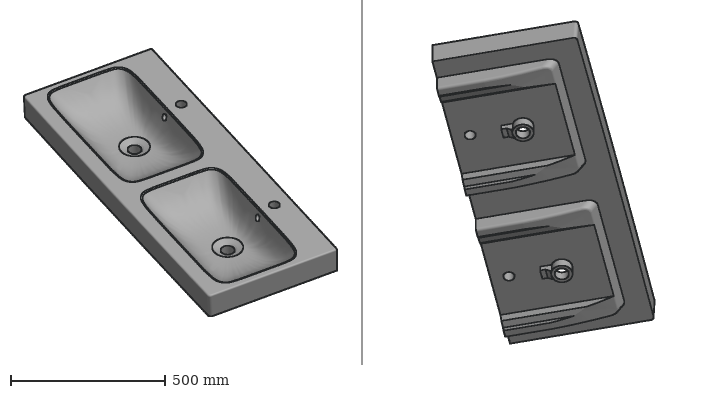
import cadquery as cq
import math


quarter_arc_inset = 1 - math.cos(math.radians(45))

length = 1201.0
depth = 485.0
slab_height = 89.0
front_bulge = 2.0
front_draft = 4.0
front_corner = 12.0
rim_round = 6.0

basin_centers = (-length / 4, length / 4)
drain_y = -237.0
bowl_half_width = 273.0
bowl_back = -115.0
bowl_front = -426.0
bowl_squareness = 8.0
section_points = 64
bowl_depth = 106.0
floor_radius = 36.0
bowl_power = 2.8
section_sizes = (1.0, 0.9, 0.75, 0.5, 0.25, 0.0)
bowl_edge_bevel = 4.0

seat_radius = 50.0
seat_clearance = 24.0
throat_radius = 31.0
throat_depth = 113.0
bore_radius = 23.0
bore_depth = 118.0
spout_radius = 35.0
spout_bottom = 155.0
overflow_radius = 11.0
overflow_depth = 29.0
overflow_length = 24.0
overflow_start_y = -135.0
tap_radius = 18.0
tap_y = -61.0

under_half_width = 230.0
under_front_top = -400.0
under_front_low = -378.0
under_depth = 121.0
joint_overlap = 6.0
under_corner = 26.0
rail_depth = 144.0
rail_round = 10.0
rail_flat_end = -156.0
rail_arc_middle = (-273.0, -136.0)
rail_flat_width = 31.0
rail_step_start = 40.0
rail_step_end = 65.0
rail_width = 79.0
rail_step_depths = (139.0, 135.0)

selection_margin = 1.0

rib_width = 36.0
rib_back = -168.0
rib_low_back = -186.0
rib_depth = 140.0
rib_low_depth = 151.0


def slab_outline(z, setback):
    """Plan outline with rounded front corners and a slightly bowed front."""
    half = length / 2
    front_side = -depth + front_bulge + setback
    corner_inset = front_corner * quarter_arc_inset
    return (
        cq.Workplane("XY", origin=(0, 0, z))
        .moveTo(-half, 0)
        .lineTo(-half, front_side + front_corner)
        .threePointArc(
            (-half + corner_inset, front_side + corner_inset),
            (-half + front_corner, front_side),
        )
        .threePointArc((0, front_side - front_bulge), (half - front_corner, front_side))
        .threePointArc(
            (half - corner_inset, front_side + corner_inset),
            (half, front_side + front_corner),
        )
        .lineTo(half, 0)
        .close()
        .val()
    )


def outer_slab():
    """Slab with a leaning front that reaches its full depth just below the rounded rim."""
    overhang = front_draft * rim_round / slab_height
    wires = [slab_outline(-slab_height, front_draft), slab_outline(0, -overhang)]
    slab = cq.Workplane(cq.Solid.makeLoft(wires, True))
    return slab.faces(">Z").edges("not >Y").fillet(rim_round)


def underbody(center_x):
    """Body below the slab, hollowed underneath between its two end rails."""
    joint = -slab_height + joint_overlap
    front_lean = (under_front_low - under_front_top) / (under_depth - slab_height)
    joint_front = under_front_top - front_lean * joint_overlap
    body = (
        cq.Workplane("YZ", origin=(center_x - under_half_width, 0, 0))
        .moveTo(0, joint)
        .lineTo(0, -rail_depth)
        .lineTo(rail_flat_end, -rail_depth)
        .threePointArc(rail_arc_middle, (under_front_low, -under_depth))
        .lineTo(joint_front, joint)
        .close()
        .extrude(2 * under_half_width)
    )
    front_corners = cq.selectors.BoxSelector(
        (center_x - length, joint_front - selection_margin, -under_depth),
        (center_x + length, under_front_low, joint - selection_margin),
    )
    body = body.edges("not |X").edges(front_corners).fillet(under_corner)
    body = body.faces("<Z").edges("|Y").fillet(rail_round)

    steps = [
        (under_half_width - rail_width, -under_depth),
        (under_half_width - rail_step_end, -rail_step_depths[1]),
        (under_half_width - rail_step_start, -rail_step_depths[0]),
        (under_half_width - rail_flat_width, -rail_depth),
    ]
    mirrored_steps = [(-x, z) for x, z in reversed(steps)]
    hollow = (
        cq.Workplane("XZ", origin=(center_x, 0, 0))
        .polyline(steps + mirrored_steps)
        .close()
        .extrude(depth)
    )
    return body.cut(hollow)


def spout(center_x):
    """Drain spout with the overflow rib that runs into it from behind."""
    pipe = (
        cq.Workplane("XY", origin=(center_x, drain_y, -spout_bottom))
        .circle(spout_radius)
        .extrude(spout_bottom - bore_depth)
    )
    rib = (
        cq.Workplane("YZ", origin=(center_x - rib_width / 2, 0, 0))
        .moveTo(drain_y, -bore_depth)
        .lineTo(rib_back, -bore_depth)
        .lineTo(rib_back, -rib_depth)
        .lineTo(rib_low_back, -rib_depth)
        .lineTo(drain_y + spout_radius, -rib_low_depth)
        .lineTo(drain_y, -rib_low_depth)
        .close()
        .extrude(rib_width)
    )
    return pipe.union(rib).cut(
        cq.Workplane("XY", origin=(center_x, drain_y, -spout_bottom))
        .circle(bore_radius)
        .extrude(spout_bottom)
    )


def blend(start, end, share):
    """Value the given share of the way from start to end."""
    return start + (end - start) * share


def bowl_section(center_x, size):
    """Superellipse at one level: size 1 is the bowed rectangular opening, 0 the round middle of the floor."""
    half_width = blend(floor_radius, bowl_half_width, size)
    back = blend(drain_y + floor_radius, bowl_back, size)
    front = blend(drain_y - floor_radius, bowl_front, size)
    middle_y = (back + front) / 2
    half_depth = (back - front) / 2
    squareness = blend(2, bowl_squareness, size)
    z = -bowl_depth * (1 - size**bowl_power)

    def outline(turn):
        across = math.sin(turn)
        along = math.cos(turn)
        reach = (abs(across) ** squareness + abs(along) ** squareness) ** (-1 / squareness)
        return cq.Vector(center_x + half_width * reach * across, middle_y - half_depth * reach * along, z)

    turns = [2 * math.pi * step / section_points for step in range(section_points)]
    return cq.Wire.assembleEdges([cq.Edge.makeSpline([outline(turn) for turn in turns], periodic=True)])


def bowl_cutter(center_x):
    """Smooth bowl lofted from the opening down to the floor."""
    sections = [bowl_section(center_x, size) for size in section_sizes]
    return cq.Workplane(cq.Solid.makeLoft(sections))


def drain_cutter(center_x):
    """Funnel from the seat to the throat, then the bore through the spout."""
    return (
        cq.Workplane("XZ", origin=(center_x, drain_y, 0))
        .moveTo(0, seat_clearance - bowl_depth)
        .lineTo(seat_radius, seat_clearance - bowl_depth)
        .lineTo(seat_radius, -bowl_depth)
        .lineTo(throat_radius, -throat_depth)
        .lineTo(bore_radius, -bore_depth)
        .lineTo(bore_radius, -spout_bottom)
        .lineTo(0, -spout_bottom)
        .close()
        .revolve(360, (0, 0, 0), (0, 1, 0))
    )


def hole_cutters(center_x):
    """Vertical tap hole and the short overflow hole in the bowl's back wall."""
    tap = (
        cq.Workplane("XY", origin=(center_x, tap_y, -rail_depth))
        .circle(tap_radius)
        .extrude(rail_depth)
    )
    overflow = (
        cq.Workplane("XZ", origin=(center_x, overflow_start_y, -overflow_depth))
        .circle(overflow_radius)
        .extrude(-overflow_length)
    )
    return tap.union(overflow)


result = outer_slab()
for basin_x in basin_centers:
    result = result.union(underbody(basin_x)).union(spout(basin_x))
for basin_x in basin_centers:
    result = result.cut(bowl_cutter(basin_x))
    opening = cq.selectors.BoxSelector(
        (basin_x - under_half_width, bowl_front - selection_margin, -selection_margin),
        (basin_x + under_half_width, bowl_back + selection_margin, selection_margin),
    )
    result = result.edges(opening).chamfer(bowl_edge_bevel)
    result = result.cut(drain_cutter(basin_x)).cut(hole_cutters(basin_x))